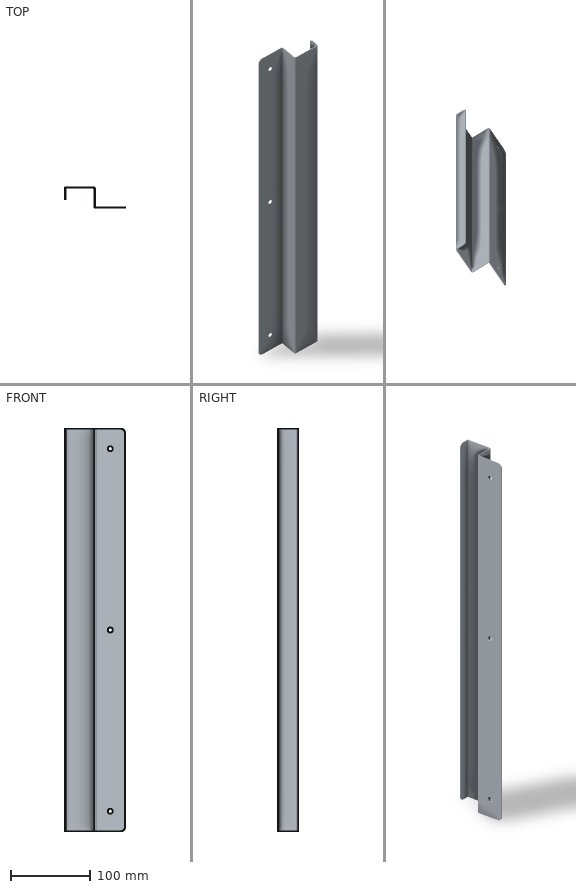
import cadquery as cq

length = 508.0
width = 76.0
depth = 26.5

thickness = 1.0
inner_bend_radius = 1.0
outer_bend_radius = inner_bend_radius + thickness

lip_depth = 15.0
web_left = 37.0
web_right = web_left + thickness

lip_corner_radius = 5.0
flange_corner_radius = 6.0

hole_diameter = 6.0
hole_x = 57.5
hole_end_distance = 25.5
hole_heights = [hole_end_distance, length / 2, length - hole_end_distance]


def bent_sheet():
    """Extrude the sharp profile, then round both sides of every bend."""
    profile = [
        (0, depth),
        (web_right, depth),
        (web_right, thickness),
        (width, thickness),
        (width, 0),
        (web_left, 0),
        (web_left, depth - thickness),
        (thickness, depth - thickness),
        (thickness, depth - lip_depth),
        (0, depth - lip_depth),
    ]
    sheet = cq.Workplane("XY").polyline(profile).close().extrude(length)

    outer_bends = [(0, depth), (web_right, depth), (web_left, 0)]
    inner_bends = [
        (thickness, depth - thickness),
        (web_left, depth - thickness),
        (web_right, thickness),
    ]
    for bends, radius in ((outer_bends, outer_bend_radius), (inner_bends, inner_bend_radius)):
        for x, y in bends:
            bend_edge = cq.selectors.NearestToPointSelector((x, y, length / 2))
            sheet = sheet.edges("|Z").edges(bend_edge).fillet(radius)
    return sheet


def round_free_corners(sheet):
    """Round the end corners of the front flange and the lip."""
    sheet = sheet.faces(">X").edges("|Y").fillet(flange_corner_radius)
    lip_edge_face = cq.selectors.NearestToPointSelector(
        (thickness / 2, depth - lip_depth, length / 2)
    )
    return sheet.faces(lip_edge_face).edges("|X").fillet(lip_corner_radius)


def mounting_holes():
    """Cylinders along Y that cut through the front flange."""
    return (
        cq.Workplane("XZ", origin=(0, thickness, 0))
        .pushPoints([(hole_x, z) for z in hole_heights])
        .circle(hole_diameter / 2)
        .extrude(thickness)
    )


result = round_free_corners(bent_sheet()).cut(mounting_holes())